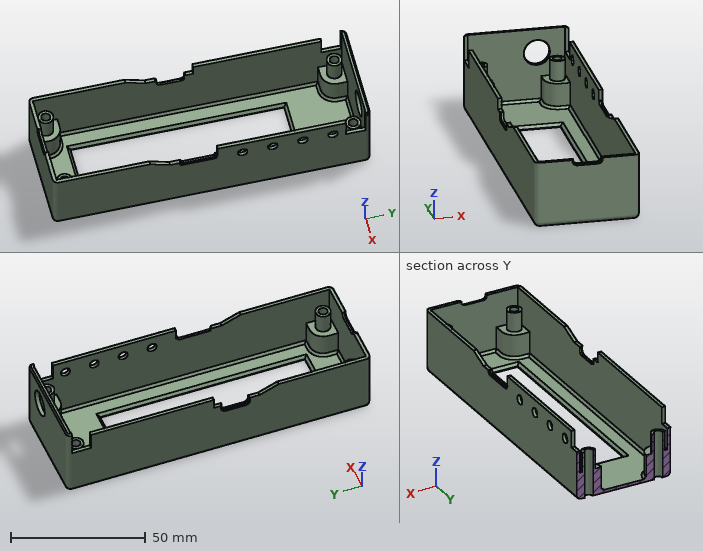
import cadquery as cq
width = 40.0
length = 121.5
height = 30.3
corner_radius = 2.0
wall = 1.5
back_wall = 1.7
floor_thickness = 1.5
bottom_radius = 2.1
floor_chamfer = 1.0
top_edge_chamfer = 0.6

cable_gap_z = 20.4
cable_gap_back_y = length / 2 - corner_radius
cable_gap_front_y = 51.3
side_rim_z = 27.3
shelf_back_y = 2.1
shelf_z = 23.1
ramp_back_y = -16.2
ramp_front_y = -23.8
front_rim_z = 26.0

window_width = 23.0
window_back_y = 35.2
window_front_y = -46.7
window_chamfer = 1.1

post_x = 14.8
post_y = 55.3
post_radius = 5.3
post_top_z = 11.4
pin_diameter = 5.7
pin_bore = 3.4
pin_top_z = 19.5

back_hole_diameter = 10.0
back_hole_x = 7.9
back_hole_z = 20.9
side_hole_diameter = 3.6
side_hole_z = 21.9
side_hole_count = 4
side_hole_first_y = 46.3
side_hole_pitch = 11.5

notch_width = 10.7
notch_depth = 1.8
notch_radius = 1.6
step = 0.5
long_notch_radius = 0.5
step_depth = 0.5
side_notch_y = -6.6
side_notch_rim_z = 22.0
long_notch_back_y = 1.2
long_notch_front_y = -11.9

inner_width = width - 2 * wall
inner_length = length - wall - back_wall


def make_block():
    """Rounded block, before hollowing, with its bottom edges rounded and its top edges chamfered."""
    block = cq.Workplane("XY").box(width, length, height, centered=(True, True, False))
    block = block.edges("|Z").fillet(corner_radius)
    block = block.faces("<Z").edges().fillet(bottom_radius)
    return block.faces(">Z").edges().chamfer(top_edge_chamfer)


def make_rim_cut():
    """Everything above the stepped rim, as seen along X."""
    beyond = 1.2
    outline = [
        (cable_gap_back_y, height + beyond),
        (cable_gap_back_y, cable_gap_z),
        (cable_gap_front_y, cable_gap_z),
        (cable_gap_front_y, side_rim_z),
        (shelf_back_y, side_rim_z),
        (shelf_back_y, shelf_z),
        (ramp_back_y, shelf_z),
        (ramp_front_y, front_rim_z),
        (-length / 2 - beyond, front_rim_z),
        (-length / 2 - beyond, height + beyond),
    ]
    return cq.Workplane("YZ").polyline(outline).close().extrude(width, both=True)


def make_post_blocks():
    """Corner blocks, each running from its two walls to a round around the screw hole."""
    reach_x = width / 2 - post_x
    reach_y = length / 2 - post_y
    block = (
        cq.Workplane("XY")
        .moveTo(post_radius, reach_y)
        .lineTo(post_radius, 0)
        .radiusArc((0, -post_radius), post_radius)
        .lineTo(-reach_x, -post_radius)
        .lineTo(-reach_x, reach_y)
        .close()
        .extrude(height)
        .translate((-post_x, post_y, 0))
    )
    pair = block.union(block.mirror("YZ"))
    return pair.union(pair.mirror("XZ"))


def make_cavity():
    """Inside of the tray: full above the posts, and around them below with a chamfered floor edge."""
    full = cq.Workplane("XY").box(inner_width, inner_length, height, centered=(True, True, False))
    full = full.translate((0, (wall - back_wall) / 2, 0))
    lower = full.cut(make_post_blocks()).faces("<Z").chamfer(floor_chamfer)
    lower = lower.translate((0, 0, floor_thickness))
    return lower.union(full.translate((0, 0, post_top_z)))


def make_window():
    """Floor opening that widens upwards."""
    window_length = window_back_y - window_front_y
    y = (window_back_y + window_front_y) / 2
    opening = cq.Workplane("XY").center(0, y).rect(window_width, window_length).extrude(floor_thickness)
    flare = (
        cq.Workplane("XY", origin=(0, y, floor_thickness))
        .rect(window_width + 2 * window_chamfer, window_length + 2 * window_chamfer)
        .extrude(-window_chamfer, taper=45)
    )
    return opening.union(flare)


def post_centers():
    return cq.Workplane("XY").rect(2 * post_x, 2 * post_y, forConstruction=True).vertices()


def make_pins():
    pins = post_centers().circle(pin_diameter / 2).extrude(pin_top_z - floor_thickness)
    return pins.translate((0, 0, floor_thickness))


def make_pin_bores():
    return post_centers().circle(pin_bore / 2).extrude(height)


def notch_layer(notch_length, depth, thickness, radius):
    """Round-cornered notch cut down from Z = 0, running in +Y from the outer face."""
    layer = cq.Workplane("XY").box(notch_length, thickness, 2 * depth)
    layer = layer.edges("|Y").fillet(radius)
    return layer.translate((0, thickness / 2, 0))


def make_notch(notch_length, depth, radius):
    """Through notch with a wider and deeper step on the outer face."""
    through = notch_layer(notch_length, depth, 2 * wall, radius)
    outer = notch_layer(notch_length + 2 * step, depth + step, step_depth, radius + step)
    return through.union(outer)


def make_front_notch():
    return make_notch(notch_width, notch_depth, notch_radius).translate((0, -length / 2, front_rim_z))


def make_left_notch():
    """Finger notch in the -X wall, below a straight cut through the shelf."""
    notch = make_notch(notch_width, notch_depth, notch_radius)
    slot = cq.Workplane("XY").box(notch_width, 2 * wall, height, centered=(True, False, False))
    notch = notch.union(slot).rotate((0, 0, 0), (0, 0, 1), -90)
    return notch.translate((-width / 2, side_notch_y, side_notch_rim_z))


def make_right_notch():
    """Longer and shallower notch in the +X wall."""
    notch_length = long_notch_back_y - long_notch_front_y
    notch_y = (long_notch_back_y + long_notch_front_y) / 2
    notch = make_notch(notch_length, shelf_z - side_notch_rim_z, long_notch_radius)
    notch = notch.rotate((0, 0, 0), (0, 0, 1), 90)
    return notch.translate((width / 2, notch_y, shelf_z))


def make_back_hole():
    hole = cq.Workplane("XZ", origin=(back_hole_x, length / 2, back_hole_z))
    return hole.circle(back_hole_diameter / 2).extrude(2 * back_wall)


def make_side_holes():
    """Row of holes through the +X wall."""
    centers = [(side_hole_first_y - i * side_hole_pitch, side_hole_z) for i in range(side_hole_count)]
    row = cq.Workplane("YZ", origin=(width / 2, 0, 0)).pushPoints(centers)
    return row.circle(side_hole_diameter / 2).extrude(-2 * wall)


result = make_block().cut(make_cavity()).cut(make_rim_cut())
result = result.union(make_pins()).cut(make_pin_bores())
for cut in (
    make_window(),
    make_front_notch(),
    make_left_notch(),
    make_right_notch(),
    make_back_hole(),
    make_side_holes(),
):
    result = result.cut(cut)